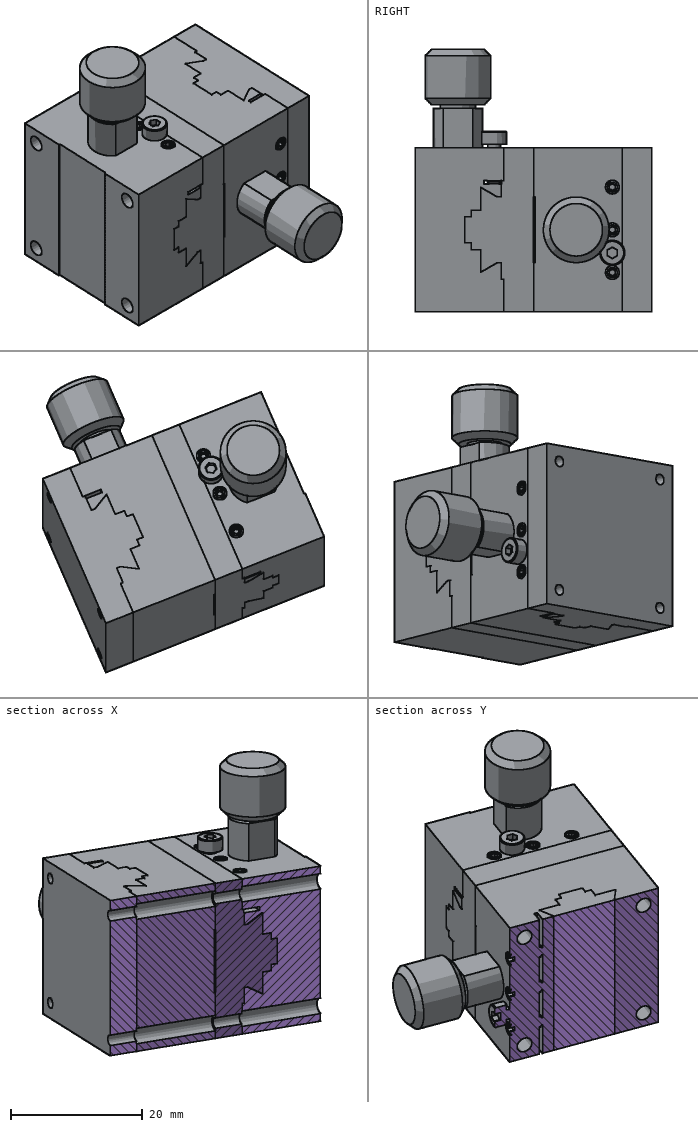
import cadquery as cq
import math


side = 25.0
half_side = side / 2
stage_depth = 18.0
plate_thickness = 4.5
base_depth = stage_depth - plate_thickness

relief_width = 10.0
relief_depth = 0.2

pad_half_width = 7.5
pad_level = base_depth - 0.4
dovetail_neck_half_width = 5.0
dovetail_neck_level = pad_level - 0.6
dovetail_floor_level = 10.0
dovetail_angle = 30.0
dovetail_flare = (dovetail_neck_level - dovetail_floor_level) * math.tan(math.radians(dovetail_angle))
dovetail_foot_half_width = dovetail_neck_half_width + dovetail_flare
upper_step_half_width = 3.0
upper_step_level = 8.5
lower_step_half_width = 2.0
lower_step_level = 7.5

slit_width = 0.5
slit_floor_level = 10.5
slit_inner_z = pad_half_width - slit_width

hole_offset = 10.0
clearance_diameter = 2.4
tapped_diameter = 1.6

set_screw_level = 12.0
set_screw_spacing = 6.5
set_screw_diameter = 2.1
set_screw_chamfer = 0.3
set_screw_hex = 0.9
set_screw_hex_depth = 0.8

clamp_x = 3.5
clamp_neck_diameter = 2.0
clamp_neck_length = 0.5
clamp_head_diameter = 3.8
clamp_head_height = 2.0
clamp_head_chamfer = 0.15
clamp_hex = 1.5
clamp_hex_depth = 1.0

adjuster_level = 6.5
sleeve_diameter = 7.5
sleeve_flats = 6.0
sleeve_length = 6.0
adjuster_neck_diameter = 5.4
adjuster_neck_length = 0.5
knob_diameter = 10.0
knob_length = 8.5
knob_chamfer = 1.0


def top_plane(x, y, z=half_side):
    """Workplane facing +Z at the given point, local axes along X and Y."""
    return cq.Workplane("XY", origin=(x, y, z))


def hexagon(plane, across_flats, depth):
    """Hexagonal plug sunk downwards from the plane."""
    return plane.polygon(6, across_flats / math.cos(math.pi / 6)).extrude(-depth)


def mounting_holes(diameter):
    """Four drills along Y through the whole stage."""
    pitch = 2 * hole_offset
    return (
        cq.Workplane("XZ")
        .rarray(pitch, pitch, 2, 2)
        .circle(diameter / 2)
        .extrude(-stage_depth)
    )


def make_rail():
    """Pad, dovetail and stepped tongue, swept along X."""
    upper_side = [
        (base_depth, pad_half_width),
        (pad_level, pad_half_width),
        (pad_level, dovetail_neck_half_width),
        (dovetail_neck_level, dovetail_neck_half_width),
        (dovetail_floor_level, dovetail_foot_half_width),
        (dovetail_floor_level, upper_step_half_width),
        (upper_step_level, upper_step_half_width),
        (upper_step_level, lower_step_half_width),
        (lower_step_level, lower_step_half_width),
    ]
    lower_side = [(y, -z) for y, z in reversed(upper_side)]
    return (
        cq.Workplane("YZ")
        .polyline(upper_side + lower_side)
        .close()
        .extrude(half_side, both=True)
    )


def make_slide():
    plate = cq.Workplane("XY").box(side, plate_thickness, side, centered=(True, False, True))
    slide = plate.translate((0, base_depth, 0)).union(make_rail())
    return slide.cut(mounting_holes(tapped_diameter))


def make_slit():
    slit_height = pad_level - slit_floor_level
    slit = cq.Workplane("XY").box(side, slit_height, slit_width, centered=(True, False, False))
    return slit.translate((0, slit_floor_level, slit_inner_z))


def set_screw_tip(x):
    """Chamfered screw end that crosses the slit and meets the gib."""
    return (
        top_plane(x, set_screw_level, slit_inner_z)
        .circle(set_screw_diameter / 2)
        .extrude(slit_width)
        .faces("<Z")
        .chamfer(set_screw_chamfer)
    )


def set_screw_recess(x):
    """Ring groove left by the chamfered screw end, plus its hex socket."""
    radius = set_screw_diameter / 2
    groove_bottom = half_side - set_screw_chamfer
    groove = (
        cq.Workplane("XZ", origin=(x, set_screw_level, 0))
        .moveTo(radius, groove_bottom)
        .lineTo(radius, half_side)
        .lineTo(radius - set_screw_chamfer, half_side)
        .close()
        .revolve(360, (0, 0), (0, 1))
    )
    socket = hexagon(top_plane(x, set_screw_level), set_screw_hex, set_screw_hex_depth)
    return groove.union(socket)


def make_clamp_screw():
    neck = top_plane(clamp_x, set_screw_level).circle(clamp_neck_diameter / 2).extrude(clamp_neck_length)
    head_bottom = half_side + clamp_neck_length
    head = (
        top_plane(clamp_x, set_screw_level, head_bottom)
        .circle(clamp_head_diameter / 2)
        .extrude(clamp_head_height)
        .faces(">Z")
        .chamfer(clamp_head_chamfer)
    )
    head_top = top_plane(clamp_x, set_screw_level, head_bottom + clamp_head_height)
    return neck.union(head).cut(hexagon(head_top, clamp_hex, clamp_hex_depth))


def make_base():
    base = cq.Workplane("XY").box(side, base_depth, side, centered=(True, False, True))
    relief = cq.Workplane("XY").box(relief_width, relief_depth, side, centered=(True, False, True))
    base = base.cut(relief).cut(make_rail()).cut(make_slit())
    base = base.cut(mounting_holes(clearance_diameter))
    for x in (-set_screw_spacing, 0, set_screw_spacing):
        base = base.union(set_screw_tip(x)).cut(set_screw_recess(x))
    return base.union(make_clamp_screw())


def make_adjuster():
    """Flatted sleeve, neck and chamfered knob standing on the +Z face."""
    sleeve = top_plane(0, adjuster_level).circle(sleeve_diameter / 2).extrude(sleeve_length)
    flats = top_plane(0, adjuster_level).rect(sleeve_flats, sleeve_diameter).extrude(sleeve_length)
    neck_bottom = half_side + sleeve_length
    neck = (
        top_plane(0, adjuster_level, neck_bottom)
        .circle(adjuster_neck_diameter / 2)
        .extrude(adjuster_neck_length)
    )
    knob = (
        top_plane(0, adjuster_level, neck_bottom + adjuster_neck_length)
        .circle(knob_diameter / 2)
        .extrude(knob_length)
        .faces("<Z or >Z")
        .chamfer(knob_chamfer)
    )
    return sleeve.intersect(flats).union(neck).union(knob)


def to_rear_stage(body):
    """Turn a front-stage body so +Z becomes +X, then move it behind the front stage."""
    return body.rotate((0, 0, 0), (0, 1, 0), 90).translate((0, stage_depth, 0))


stage_bodies = [make_base(), make_slide(), make_adjuster()]
solids = []
for body in stage_bodies:
    solids.append(body.solids().val())
    solids.append(to_rear_stage(body).solids().val())

result = cq.Compound.makeCompound(solids)